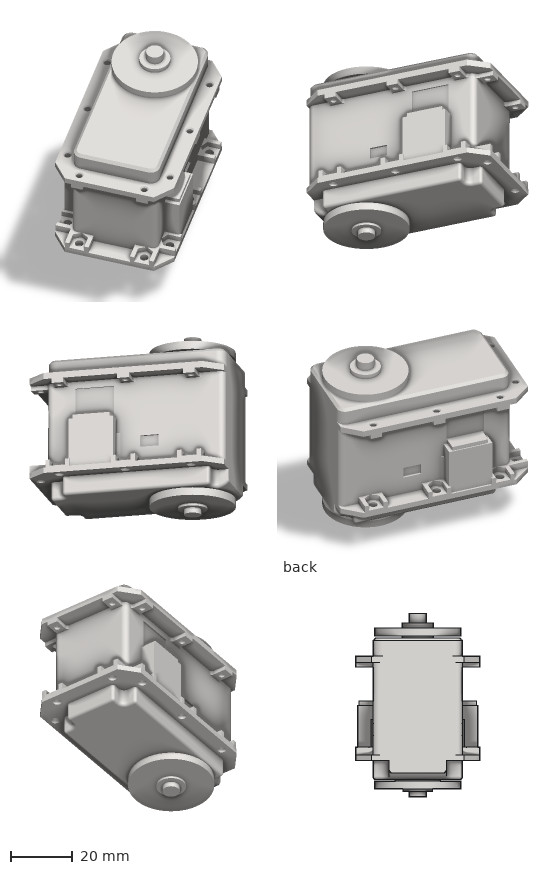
import cadquery as cq
import math


length = 65.1
flange_width = 40.2
back_y = 14.45
front_y = back_y - length
body_width = 28.9
body_length = 59.45
body_front_y = back_y - body_length
body_round = 2.0

corner_cut_x = 5.1
corner_cut_y = 6.05
lower_plate_top = 1.9
lower_pad_top = 4.35
nut_floor = 2.35
upper_pad_bottom = 30.3
upper_plate_bottom = 31.8
upper_plate_top = 33.85

hole_edge = 2.8
hole_spacing = 22.0
first_hole_from_back = 10.5
upper_hole_dia = 2.0
upper_hole_chamfer = 0.4
lower_hole_dia = 2.8
upper_pad_width = 3.9
upper_pad_fillet = 0.9
lower_pad_width = 8.0
nut_flats = 5.1
side_holes = 3

cover_round = 3.0
cover_top = 39.8
cover_chamfer = 0.9
base_bottom = -6.1
base_edge_fillet = 1.0
notch_depth = 5.15
notch_round = notch_depth - cover_round
notch_lip_round = 1.0
back_curve_run = 4.9
back_curve_rise = 2.15

disc_dia = 28.0
shaft_dia = 5.6
top_collar_dia = 10.1
top_disc_bottom = 40.3
top_disc_top = 42.95
top_collar_top = 44.6
shaft_top = 47.65
bottom_ring_dia = 14.7
bottom_collar_dia = 9.6
bottom_disc_top = -6.6
bottom_disc_bottom = -9.1
bottom_collar_bottom = -9.9
shaft_bottom = -11.7

connector_x = 19.45
connector_width = 15.0
connector_mid_y = back_y - 43.5
connector_top = 17.9
plug_x = 19.1
plug_width = 12.45
plug_top = 19.35
rib_run = 1.25
rib_angle = 30
rib_rise = rib_run * math.tan(math.radians(rib_angle))
rib_top = 13.3
label_width = 12.9
label_bottom = plug_top
label_top = 29.4
label_depth = 0.5
window_width = 6.0
window_mid_y = back_y - 25.1
window_bottom = 8.2
window_top = 12.0
window_depth = 0.8


def block(x0, x1, y0, y1, z0, z1):
    """Box between two opposite corners."""
    return cq.Workplane("XY").box(x1 - x0, y1 - y0, z1 - z0, centered=False).translate((x0, y0, z0))


def disc(diameter, z0, z1):
    """Round plate on the shaft axis."""
    return cq.Workplane("XY").workplane(offset=z0).circle(diameter / 2).extrude(z1 - z0)


def rounded_box(radius, z0, z1):
    """Body-sized box with rounded vertical edges."""
    box = block(-body_width / 2, body_width / 2, body_front_y, back_y, z0, z1)
    return box.edges("|Z").fillet(radius)


def flange_plate(z0, z1):
    """Flange with its four corners cut off."""
    half = flange_width / 2
    right_side = [
        (half - corner_cut_x, back_y),
        (half, back_y - corner_cut_y),
        (half, front_y + corner_cut_y),
        (half - corner_cut_x, front_y),
    ]
    left_side = [(-x, y) for x, y in reversed(right_side)]
    return cq.Workplane("XY").workplane(offset=z0).polyline(right_side + left_side).close().extrude(z1 - z0)


def at_holes(feature):
    """Copies of a feature at all eight holes.

    The feature is modelled around the origin with the flange edge on its -Y side.
    """
    hole_x = flange_width / 2 - hole_edge
    copies = cq.Workplane("XY")
    for x in (-hole_spacing / 2, hole_spacing / 2):
        copies = copies.add(feature.translate((x, front_y + hole_edge, 0)))
    for side, turn in ((-1, -90), (1, 90)):
        turned = feature.rotate((0, 0, 0), (0, 0, 1), turn)
        for row in range(side_holes):
            y = back_y - first_hole_from_back - row * hole_spacing
            copies = copies.add(turned.translate((side * hole_x, y, 0)))
    return copies.combine()


def pad(width, z0, z1):
    """Pad reaching from the flange edge just into the body wall."""
    reach = body_front_y - front_y - hole_edge + body_round
    return block(-width / 2, width / 2, -hole_edge, reach, z0, z1)


def body():
    """Middle case with the padded undersides of the upper flange blended into its walls."""
    case = rounded_box(body_round, 0, upper_plate_top)
    case = case.union(at_holes(pad(upper_pad_width, upper_pad_bottom, upper_plate_bottom)))
    hole_x = flange_width / 2 - hole_edge
    wall_band = cq.selectors.BoxSelector(
        (-hole_x, front_y + hole_edge, upper_pad_bottom),
        (hole_x, back_y, upper_plate_bottom),
    )
    return case.edges(wall_band).edges("|Z").fillet(upper_pad_fillet)


def upper_flange_holes():
    """Through holes with a chamfered upper rim."""
    drill = (
        cq.Workplane("XY").workplane(offset=upper_pad_bottom)
        .circle(upper_hole_dia / 2).extrude(upper_plate_top - upper_pad_bottom)
    )
    rim = (
        cq.Workplane("XY").workplane(offset=upper_plate_top - upper_hole_chamfer)
        .circle(upper_hole_dia / 2).workplane(offset=upper_hole_chamfer)
        .circle(upper_hole_dia / 2 + upper_hole_chamfer).loft()
    )
    return at_holes(drill.union(rim))


def lower_flange():
    """Lower plate and its pads, each with a hole and a nut pocket open to the flange edge."""
    flange = flange_plate(0, lower_plate_top)
    flange = flange.union(at_holes(pad(lower_pad_width, 0, lower_pad_top)))
    nut = (
        cq.Workplane("XY").workplane(offset=nut_floor)
        .polygon(6, nut_flats, circumscribed=True).extrude(lower_pad_top - nut_floor)
    )
    mouth = block(-nut_flats / 2, nut_flats / 2, -hole_edge, 0, nut_floor, lower_pad_top)
    drill = disc(lower_hole_dia, 0, nut_floor)
    return flange.cut(at_holes(nut.union(mouth).union(drill)))


def top_cover():
    """Rounded cover with a chamfered upper rim."""
    return rounded_box(cover_round, upper_plate_top, cover_top).faces(">Z").edges().chamfer(cover_chamfer)


def base_cover():
    """Bottom cover with notched corners, a curved lower back edge and a rounded bottom rim."""
    half = body_width / 2
    base = (
        cq.Workplane("YZ").moveTo(body_front_y, 0).lineTo(body_front_y, base_bottom)
        .lineTo(back_y - back_curve_run, base_bottom)
        .tangentArcPoint((back_curve_run, back_curve_rise))
        .lineTo(back_y, 0).close().extrude(half, both=True)
    )
    notch = block(-notch_depth, notch_depth, -notch_depth, notch_depth, base_bottom, 0)
    notch = notch.edges("|Z").fillet(notch_round)
    for x in (-half, half):
        for y in (body_front_y, back_y):
            base = base.cut(notch.translate((x, y, 0)))
    base = base.faces("<X or >X or <Y").edges("|Z").fillet(notch_lip_round)
    return base.faces("<Z").edges("not >Y").fillet(base_edge_fillet)


def shaft_stack(levels):
    """Stack of round steps, each given as diameter, bottom and top."""
    stack = cq.Workplane("XY")
    for diameter, bottom, top in levels:
        stack = stack.union(disc(diameter, bottom, top))
    return stack


def connector():
    """Socket and plug standing on the lower flange at the -X wall, with a sloped rib beside them."""
    half_socket = connector_width / 2
    half_plug = plug_width / 2
    wall = -body_width / 2
    inside = wall + body_round
    socket = block(
        -connector_x, inside, connector_mid_y - half_socket, connector_mid_y + half_socket,
        lower_plate_top, connector_top,
    )
    plug = block(
        -plug_x, inside, connector_mid_y - half_plug, connector_mid_y + half_plug,
        connector_top, plug_top,
    )
    rib_y = connector_mid_y + half_socket
    rib_end_y = rib_y + rib_run
    rib = (
        cq.Workplane("XY").workplane(offset=lower_plate_top)
        .polyline([
            (inside, rib_y),
            (wall - rib_rise, rib_y),
            (wall, rib_end_y),
            (inside, rib_end_y),
        ])
        .close().extrude(rib_top - lower_plate_top)
    )
    return socket.union(plug).union(rib)


def side_recesses():
    """Shallow label and window recesses in the -X wall."""
    wall = -body_width / 2
    label = block(
        wall, wall + label_depth, connector_mid_y - label_width / 2, connector_mid_y + label_width / 2,
        label_bottom, label_top,
    )
    window = block(
        wall, wall + window_depth, window_mid_y - window_width / 2, window_mid_y + window_width / 2,
        window_bottom, window_top,
    )
    return label.union(window)


def both_sides(feature):
    """A feature of the -X wall together with its mirror image."""
    return feature.union(feature.mirror("YZ"))


output = shaft_stack([
    (shaft_dia, shaft_bottom, shaft_top),
    (top_collar_dia, cover_top, top_collar_top),
    (disc_dia, top_disc_bottom, top_disc_top),
    (bottom_ring_dia, bottom_disc_top, base_bottom),
    (disc_dia, bottom_disc_bottom, bottom_disc_top),
    (bottom_collar_dia, bottom_collar_bottom, bottom_disc_bottom),
])
result = (
    body()
    .cut(both_sides(side_recesses()))
    .union(flange_plate(upper_plate_bottom, upper_plate_top))
    .cut(upper_flange_holes())
    .union(lower_flange())
    .union(top_cover())
    .union(base_cover())
    .union(both_sides(connector()))
    .union(output)
)